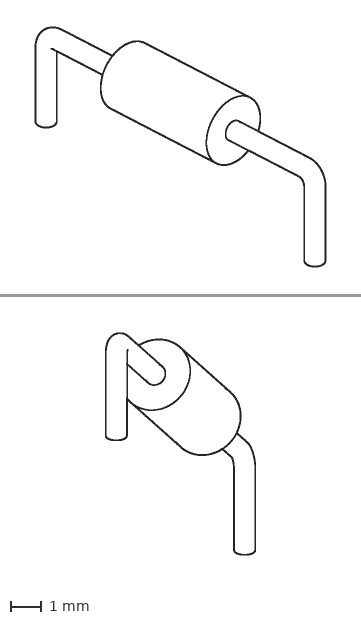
import cadquery as cq

body_diameter = 2.4
body_length = 5.0
lead_diameter = 0.7
lead_pitch = 12.7
lead_drop = 3.33
bend_radius = 0.5
tip_fillet = 0.1

lead_radius = lead_diameter / 2
body_end = body_length / 2
lead_x = lead_pitch / 2


def make_body():
    """Plain cylinder along X, centred on the origin."""
    left_end = cq.Workplane("YZ", origin=(-body_end, 0, 0))
    return left_end.circle(body_diameter / 2).extrude(body_length)


def make_leg():
    """Vertical end of the +X lead, with a rounded tip."""
    leg_length = lead_drop - bend_radius
    leg = cq.Workplane("XY", origin=(lead_x, 0, -lead_drop)).circle(lead_radius).extrude(leg_length)
    return leg.faces("<Z").edges().fillet(tip_fillet)


def make_lead():
    """Lead on the +X side: straight out of the body, round the bend and down to the tip."""
    bend_start = lead_x - bend_radius
    straight = (
        cq.Workplane("YZ", origin=(body_end, 0, 0))
        .circle(lead_radius)
        .extrude(bend_start - body_end)
    )
    bend = (
        cq.Workplane("YZ", origin=(bend_start, 0, 0))
        .circle(lead_radius)
        .revolve(90, (-1, -bend_radius), (0, -bend_radius))
    )
    return straight.union(bend).union(make_leg())


right_lead = make_lead()
left_lead = right_lead.mirror("YZ")
result = make_body().union(right_lead).union(left_lead)